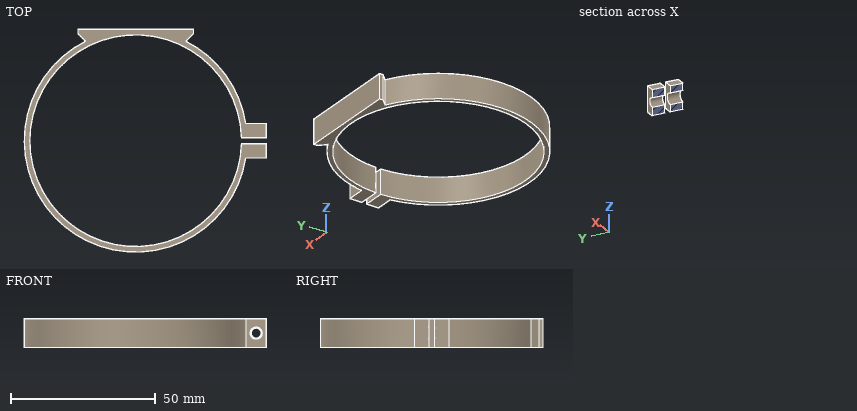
import cadquery as cq
import math

ring_inner_radius = 36.5
ring_wall = 2.0
ring_outer_radius = ring_inner_radius + ring_wall
ring_height = 10.0

split_gap = 2.0
lug_thickness = 5.0
lug_end_x = 45.11
lug_outer_y = split_gap / 2 + lug_thickness

hole_from_lug_end = 3.5
hole_x = lug_end_x - hole_from_lug_end
clearance_hole_diameter = 4.2
tapping_hole_diameter = 3.4

pad_width = 40.0
pad_edge_thickness = 1.5
pad_flank_angle = 45.0
pad_depth = 6.0


def disc(radius):
    return cq.Workplane("XY").circle(radius).extrude(ring_height)


def make_lugs():
    """Block from the ring axis out to the lug ends; bore and split are cut later."""
    return (
        cq.Workplane("XY")
        .rect(lug_end_x, 2 * lug_outer_y)
        .extrude(ring_height)
        .translate((lug_end_x / 2, 0, 0))
    )


def make_pad():
    """Flat-topped pad whose flanks taper inward until they are buried in the ring."""
    half_width = pad_width / 2
    top_y = ring_outer_radius
    edge_y = top_y - pad_edge_thickness
    root_y = top_y - pad_depth
    root_half_width = half_width - (edge_y - root_y) * math.tan(math.radians(pad_flank_angle))
    outline = [
        (-half_width, top_y),
        (half_width, top_y),
        (half_width, edge_y),
        (root_half_width, root_y),
        (-root_half_width, root_y),
        (-half_width, edge_y),
    ]
    return cq.Workplane("XY").polyline(outline).close().extrude(ring_height)


def make_split():
    return (
        cq.Workplane("XY")
        .rect(lug_end_x, split_gap)
        .extrude(ring_height)
        .translate((lug_end_x / 2, 0, 0))
    )


def make_lug_hole(diameter, side):
    """Cylinder through one lug, from mid-split outward; side is +1 for +Y, -1 for -Y."""
    return cq.Workplane(
        cq.Plane(
            origin=(hole_x, 0, ring_height / 2),
            xDir=(1, 0, 0),
            normal=(0, side, 0),
        )
    ).circle(diameter / 2).extrude(lug_outer_y)


result = (
    disc(ring_outer_radius)
    .union(make_lugs())
    .union(make_pad())
    .cut(disc(ring_inner_radius))
    .cut(make_split())
    .cut(make_lug_hole(clearance_hole_diameter, -1))
    .cut(make_lug_hole(tapping_hole_diameter, 1))
)